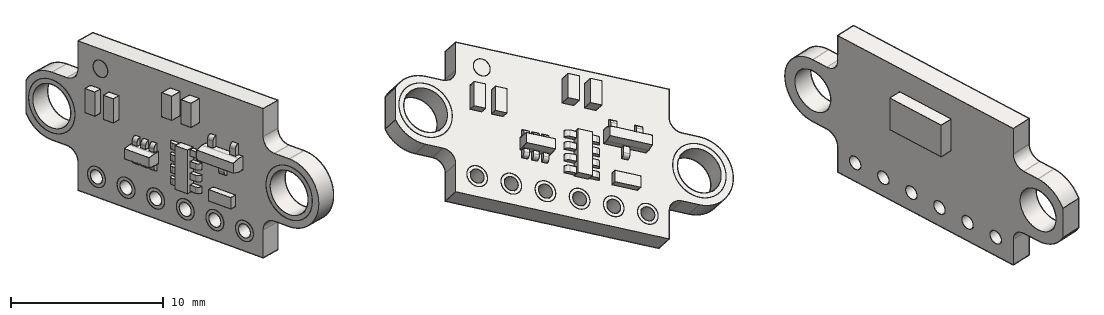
import cadquery as cq


BOARD_WIDTH = 15.6
BOARD_HEIGHT = 11.0
BOARD_THICKNESS = 1.55

EAR_SPACING = 20.0
EAR_RADIUS = 2.5
EAR_FILLET = 0.95
OVERALL_LENGTH = 24.7
MOUNT_HOLE_DIAMETER = 3.19
MOUNT_PAD_DIAMETER = 3.9

PIN_COUNT = 6
PIN_PITCH = 2.5
PIN_ROW_Z = -4.0
PIN_HOLE_DIAMETER = 1.01
PIN_PAD_DIAMETER = 1.5

PAD_THICKNESS = 0.012
DOT_DIAMETER = 1.24
DOT_CENTER = (-5.9, 4.05)

SENSOR_WIDTH = 4.57
SENSOR_HEIGHT = 2.55
SENSOR_DEPTH = 0.96
SENSOR_CENTER = (0, 2.35)

CHIP_WIDTH = 0.85
CHIP_LENGTH = 1.78
LONG_CHIP_LENGTH = 1.88
TALL_CHIP_DEPTH = 0.9
LOW_CHIP_DEPTH = 0.6
LONG_CHIP_DEPTH = 0.5
TALL_CHIP_CENTERS = [(0.4, 3.63), (2.03, 3.63)]
LOW_CHIP_CENTERS = [(-6.32, 1.68), (-4.77, 1.68)]
LONG_CHIP_CENTER = (4.55, -2.03)

LEAD_DEPTH = 0.32
LEAD_ROUND = 0.309

BODY_DEPTH = 1.0
BODY_STRAIGHT_DEPTH = 0.45

TRANSISTOR_CENTER = (4.55, 0.95)
TRANSISTOR_WIDTH = 3.09
TRANSISTOR_HEIGHT = 1.01
TRANSISTOR_BEVEL = 0.15
TRANSISTOR_LEAD_WIDTH = 0.47
TRANSISTOR_LEAD_SPACING = 1.88
TRANSISTOR_LEAD_REACH = 1.3

REGULATOR_CENTER = (-2.05, -0.91)
REGULATOR_WIDTH = 2.1
REGULATOR_HEIGHT = 0.9
REGULATOR_BEVEL = 0.07
REGULATOR_LEADS_PER_SIDE = 3
REGULATOR_LEAD_WIDTH = 0.42
REGULATOR_LEAD_PITCH = 0.72
REGULATOR_LEAD_REACH = 1.01

CONTROLLER_CENTER = (1.38, -0.82)
CONTROLLER_WIDTH = 1.05
CONTROLLER_HEIGHT = 3.2
CONTROLLER_DEPTH = 0.6
CONTROLLER_LEADS_PER_SIDE = 4
CONTROLLER_LEAD_WIDTH = 0.47
CONTROLLER_LEAD_PITCH = 0.86
CONTROLLER_LEAD_REACH = 1.28

UP, RIGHT, DOWN, LEFT = 0, 90, 180, 270


def face_plane(y):
    """Sketch plane parallel to the board at the given y; extruding goes toward -Y."""
    return cq.Workplane("XZ", origin=(0, y, 0))


def centered_row(count, pitch):
    """Positions of equally spaced items centred on zero."""
    return [(i - (count - 1) / 2) * pitch for i in range(count)]


def make_board():
    """Rectangle with two ears blended in by fillets; the left ear is cut off flat."""
    back = face_plane(BOARD_THICKNESS)
    plate = back.rect(BOARD_WIDTH, BOARD_HEIGHT).extrude(BOARD_THICKNESS)
    ear_length = EAR_SPACING + 2 * EAR_RADIUS
    ears = back.slot2D(ear_length, 2 * EAR_RADIUS).extrude(BOARD_THICKNESS)

    margin = 0.25
    inner_corners = cq.selectors.BoxSelector(
        (-BOARD_WIDTH / 2 - margin, -margin, -EAR_RADIUS - margin),
        (BOARD_WIDTH / 2 + margin, BOARD_THICKNESS + margin, EAR_RADIUS + margin),
    )
    board = plate.union(ears).edges("|Y").edges(inner_corners).fillet(EAR_FILLET)

    left_edge_x = ear_length / 2 - OVERALL_LENGTH
    ear_tip = back.center(left_edge_x - EAR_RADIUS, 0).rect(2 * EAR_RADIUS, 2 * EAR_RADIUS)
    return board.cut(ear_tip.extrude(BOARD_THICKNESS))


def add_padded_holes(part, points, hole_diameter, pad_diameter):
    """Through holes, each ringed by a thin pad on the front face."""
    pads = face_plane(0).pushPoints(points).circle(pad_diameter / 2).extrude(PAD_THICKNESS)
    holes = face_plane(BOARD_THICKNESS).pushPoints(points).circle(hole_diameter / 2)
    return part.union(pads).cut(holes.extrude(BOARD_THICKNESS + PAD_THICKNESS))


def front_block(center, width, height, depth):
    """Rectangular block standing on the front face."""
    return face_plane(0).center(*center).rect(width, height).extrude(depth)


def beveled_body(center, width, height, bevel):
    """Package body whose upper and lower sides slope in toward its outer face."""
    x, z = center
    half = height / 2
    profile = [
        (0, z - half),
        (-BODY_STRAIGHT_DEPTH, z - half),
        (-BODY_DEPTH, z - half + bevel),
        (-BODY_DEPTH, z + half - bevel),
        (-BODY_STRAIGHT_DEPTH, z + half),
        (0, z + half),
    ]
    side_plane = cq.Workplane("YZ", origin=(x, 0, 0))
    return side_plane.polyline(profile).close().extrude(width / 2, both=True)


def make_lead(center, offset, reach, width, direction):
    """Lead with a rounded outer end; offset is sideways from the package centre."""
    x, z = center
    bar = cq.Workplane("XY").box(width, LEAD_DEPTH, reach, centered=(True, False, False))
    bar = bar.edges("|X and >Z and <Y").fillet(LEAD_ROUND)
    bar = bar.translate((offset, -LEAD_DEPTH, 0))
    return bar.rotate((0, 0, 0), (0, 1, 0), direction).translate((x, 0, z))


def make_transistor():
    package = beveled_body(TRANSISTOR_CENTER, TRANSISTOR_WIDTH, TRANSISTOR_HEIGHT, TRANSISTOR_BEVEL)
    half_spacing = TRANSISTOR_LEAD_SPACING / 2
    for offset, direction in [(-half_spacing, UP), (half_spacing, UP), (0, DOWN)]:
        package = package.union(make_lead(
            TRANSISTOR_CENTER, offset, TRANSISTOR_LEAD_REACH, TRANSISTOR_LEAD_WIDTH, direction))
    return package


def make_regulator():
    package = beveled_body(REGULATOR_CENTER, REGULATOR_WIDTH, REGULATOR_HEIGHT, REGULATOR_BEVEL)
    for offset in centered_row(REGULATOR_LEADS_PER_SIDE, REGULATOR_LEAD_PITCH):
        for direction in (UP, DOWN):
            package = package.union(make_lead(
                REGULATOR_CENTER, offset, REGULATOR_LEAD_REACH, REGULATOR_LEAD_WIDTH, direction))
    return package


def make_controller():
    package = front_block(CONTROLLER_CENTER, CONTROLLER_WIDTH, CONTROLLER_HEIGHT, CONTROLLER_DEPTH)
    for offset in centered_row(CONTROLLER_LEADS_PER_SIDE, CONTROLLER_LEAD_PITCH):
        for direction in (LEFT, RIGHT):
            package = package.union(make_lead(
                CONTROLLER_CENTER, offset, CONTROLLER_LEAD_REACH, CONTROLLER_LEAD_WIDTH, direction))
    return package


mount_points = [(x, 0) for x in centered_row(2, EAR_SPACING)]
pin_points = [(x, PIN_ROW_Z) for x in centered_row(PIN_COUNT, PIN_PITCH)]
result = make_board()
result = add_padded_holes(result, mount_points, MOUNT_HOLE_DIAMETER, MOUNT_PAD_DIAMETER)
result = add_padded_holes(result, pin_points, PIN_HOLE_DIAMETER, PIN_PAD_DIAMETER)
result = result.union(face_plane(0).center(*DOT_CENTER).circle(DOT_DIAMETER / 2).extrude(PAD_THICKNESS))

sensor_plane = face_plane(BOARD_THICKNESS + SENSOR_DEPTH).center(*SENSOR_CENTER)
result = result.union(sensor_plane.rect(SENSOR_WIDTH, SENSOR_HEIGHT).extrude(SENSOR_DEPTH))

for chip_center in TALL_CHIP_CENTERS:
    result = result.union(front_block(chip_center, CHIP_WIDTH, CHIP_LENGTH, TALL_CHIP_DEPTH))
for chip_center in LOW_CHIP_CENTERS:
    result = result.union(front_block(chip_center, CHIP_WIDTH, CHIP_LENGTH, LOW_CHIP_DEPTH))
result = result.union(front_block(LONG_CHIP_CENTER, LONG_CHIP_LENGTH, CHIP_WIDTH, LONG_CHIP_DEPTH))

for package in (make_transistor(), make_regulator(), make_controller()):
    result = result.union(package)